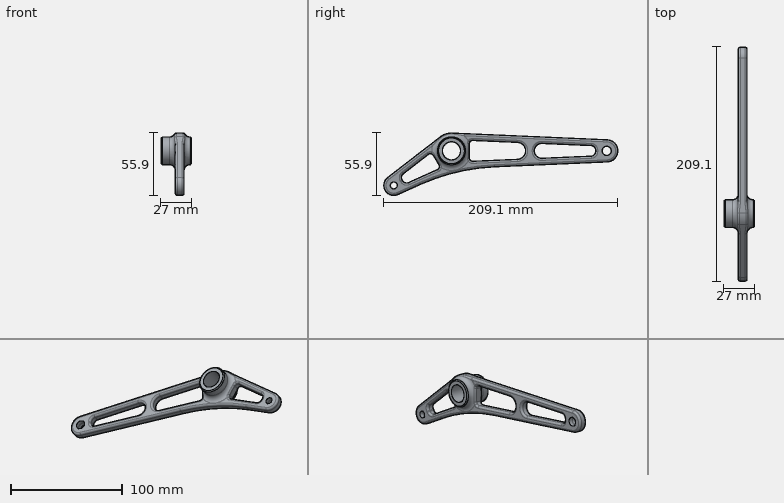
import cadquery as cq
import math

PLATE_THICKNESS = 8.0
HUB_OUTLINE_RADIUS = 16.0
UNDERSIDE_RADIUS = 180.0
RIM_WIDTH = 6.0
EDGE_FILLET = 2.0

LONG_LENGTH = 138.63
LONG_ANGLE = 0.0
LONG_TIP_RADIUS = 10.0
LONG_HOLE_DIAMETER = 8.0

SHORT_LENGTH = 60.0
SHORT_DROOP = 30.95
SHORT_ANGLE = 180.0 + SHORT_DROOP
SHORT_TIP_RADIUS = 9.0
SHORT_HOLE_DIAMETER = 6.0

HUB_WALL = 16.0
HUB_CORNER_RADIUS = 3.0
INNER_ROUND_CENTRE = 58.65
OUTER_ROUND_CENTRE = 80.6
LONG_TIP_WALL = LONG_LENGTH - LONG_TIP_RADIUS
SHORT_TIP_WALL = SHORT_LENGTH - SHORT_TIP_RADIUS
TIP_CORNER_RADIUS = 4.0

HUB_DIAMETER = 25.0
BORE_DIAMETER = 16.0
HUB_HEIGHT_NEG_X = 12.5
HUB_HEIGHT_POS_X = 6.5
HUB_FILLET = 5.0
HUB_CHAMFER = 1.0

HALF_THICKNESS = PLATE_THICKNESS / 2
HUB_RADIUS = HUB_DIAMETER / 2
FLARE_RADIUS = HUB_RADIUS + HUB_FILLET
WALL_TOLERANCE = 1e-6
BLANK_HALF_THICKNESS = HALF_THICKNESS + HUB_FILLET


def polar(radius, angle, centre=(0.0, 0.0)):
    """Point at a radius and an angle in degrees from a centre."""
    turn = math.radians(angle)
    return (centre[0] + radius * math.cos(turn), centre[1] + radius * math.sin(turn))


def edge_normal_angle(length, tip_radius):
    """Angle between an arm's axis and the normal of its tapering edge."""
    return math.degrees(math.acos((HUB_OUTLINE_RADIUS - tip_radius) / length))


def prism(sketch, half_thickness):
    return sketch.extrude(half_thickness, both=True)


def plate_outline():
    long_normal = edge_normal_angle(LONG_LENGTH, LONG_TIP_RADIUS)
    short_normal = edge_normal_angle(SHORT_LENGTH, SHORT_TIP_RADIUS)
    long_tip = polar(LONG_LENGTH, LONG_ANGLE)
    short_tip = polar(SHORT_LENGTH, SHORT_ANGLE)

    long_top = LONG_ANGLE + long_normal
    long_bottom = LONG_ANGLE - long_normal + 360
    short_top = SHORT_ANGLE - short_normal
    short_bottom = SHORT_ANGLE + short_normal

    underside_mid = (long_bottom + short_bottom) / 2
    half_turn = math.radians(short_bottom - long_bottom) / 2
    centre_distance = (HUB_OUTLINE_RADIUS + UNDERSIDE_RADIUS) / math.cos(half_turn)
    underside_centre = polar(centre_distance, underside_mid)

    return (
        cq.Workplane("YZ")
        .moveTo(*polar(HUB_OUTLINE_RADIUS, long_top))
        .threePointArc(
            polar(HUB_OUTLINE_RADIUS, (long_top + short_top) / 2),
            polar(HUB_OUTLINE_RADIUS, short_top),
        )
        .lineTo(*polar(SHORT_TIP_RADIUS, short_top, short_tip))
        .threePointArc(
            polar(SHORT_TIP_RADIUS, SHORT_ANGLE, short_tip),
            polar(SHORT_TIP_RADIUS, short_bottom, short_tip),
        )
        .lineTo(*polar(-UNDERSIDE_RADIUS, short_bottom, underside_centre))
        .threePointArc(
            polar(-UNDERSIDE_RADIUS, underside_mid, underside_centre),
            polar(-UNDERSIDE_RADIUS, long_bottom, underside_centre),
        )
        .lineTo(*polar(LONG_TIP_RADIUS, long_bottom, long_tip))
        .threePointArc(
            polar(LONG_TIP_RADIUS, LONG_ANGLE, long_tip),
            polar(LONG_TIP_RADIUS, long_top, long_tip),
        )
        .close()
    )


def window_half_width(arm, distance):
    """Half width of a window across its arm, at a distance from the hub axis."""
    length, tip_radius, _ = arm
    normal = math.radians(edge_normal_angle(length, tip_radius))
    return (HUB_OUTLINE_RADIUS - RIM_WIDTH - distance * math.cos(normal)) / math.sin(normal)


def window_cutter(sketch, arm_angle, corner_radii):
    """Cutter turned to its arm; corner_radii maps each flat end, "<Y" or ">Y", to a radius."""
    cutter = prism(sketch, BLANK_HALF_THICKNESS)
    for flat_end, radius in corner_radii.items():
        cutter = cutter.faces(flat_end).edges("|X").fillet(radius)
    return cutter.rotate((0, 0, 0), (1, 0, 0), arm_angle)


def round_ended_window(arm, wall, corner_radius, round_centre):
    """Tapered window from a flat end wall to a full round touching both sides."""
    length, tip_radius, arm_angle = arm
    normal = edge_normal_angle(length, tip_radius)
    radius = window_half_width(arm, round_centre) * math.sin(math.radians(normal))
    centre = (round_centre, 0.0)
    wall_half_width = window_half_width(arm, wall)
    round_angle, flat_end = (0, "<Y") if round_centre > wall else (180, ">Y")
    sketch = (
        cq.Workplane("YZ")
        .moveTo(wall, -wall_half_width)
        .lineTo(*polar(radius, -normal, centre))
        .threePointArc(polar(radius, round_angle, centre), polar(radius, normal, centre))
        .lineTo(wall, wall_half_width)
        .close()
    )
    return window_cutter(sketch, arm_angle, {flat_end: corner_radius})


def flat_ended_window(arm, start, start_corner_radius, end, end_corner_radius):
    """Tapered window between two flat end walls."""
    corners = [
        (start, -window_half_width(arm, start)),
        (end, -window_half_width(arm, end)),
        (end, window_half_width(arm, end)),
        (start, window_half_width(arm, start)),
    ]
    sketch = cq.Workplane("YZ").polyline(corners).close()
    return window_cutter(sketch, arm[-1], {"<Y": start_corner_radius, ">Y": end_corner_radius})


def windows():
    long_arm = (LONG_LENGTH, LONG_TIP_RADIUS, LONG_ANGLE)
    short_arm = (SHORT_LENGTH, SHORT_TIP_RADIUS, SHORT_ANGLE)
    inner = round_ended_window(long_arm, HUB_WALL, HUB_CORNER_RADIUS, INNER_ROUND_CENTRE)
    outer = round_ended_window(long_arm, LONG_TIP_WALL, TIP_CORNER_RADIUS, OUTER_ROUND_CENTRE)
    short = flat_ended_window(short_arm, HUB_WALL, HUB_CORNER_RADIUS, SHORT_TIP_WALL, TIP_CORNER_RADIUS)
    return inner.union(outer).union(short)


def flare_envelope():
    """Disc whose two faces rise from the plate to the hub in a concave fillet."""
    arc_mid = polar(HUB_FILLET, 225, (FLARE_RADIUS, BLANK_HALF_THICKNESS))
    half = (
        cq.Workplane("XY")
        .lineTo(FLARE_RADIUS, 0)
        .lineTo(FLARE_RADIUS, HALF_THICKNESS)
        .threePointArc(arc_mid, (HUB_RADIUS, BLANK_HALF_THICKNESS))
        .lineTo(0, BLANK_HALF_THICKNESS)
        .close()
        .revolve(360, (0, 0, 0), (0, 1, 0))
        .rotate((0, 0, 0), (0, 0, 1), -90)
    )
    return half.union(half.mirror("YZ"))


def hub():
    return (
        cq.Workplane("YZ")
        .workplane(offset=-HALF_THICKNESS - HUB_HEIGHT_NEG_X)
        .circle(HUB_RADIUS)
        .extrude(HUB_HEIGHT_NEG_X + PLATE_THICKNESS + HUB_HEIGHT_POS_X)
        .faces("<X or >X")
        .chamfer(HUB_CHAMFER)
    )


def through_hole(diameter, position):
    reach = HALF_THICKNESS + max(HUB_HEIGHT_NEG_X, HUB_HEIGHT_POS_X)
    return prism(cq.Workplane("YZ").center(*position).circle(diameter / 2), reach)


def is_plate_wall(face):
    """True for the walls that run straight through the plate along X."""
    return face.geomType() in ("PLANE", "CYLINDER") and abs(face.normalAt().x) < WALL_TOLERANCE


def rim_edges(body):
    """Edges where the plate's walls meet its faces or the hub flare."""
    wall_edges = [edge for face in body.faces().vals() if is_plate_wall(face) for edge in face.Edges()]
    return [edge for edge in wall_edges if sum(edge.isSame(other) for other in wall_edges) == 1]


def lever_plate():
    """Plate with its windows and hub flare, rounded along every rim edge."""
    openings = windows()
    plate = prism(plate_outline(), HALF_THICKNESS).cut(openings)
    flare_blank = prism(plate_outline(), BLANK_HALF_THICKNESS).cut(openings)
    body = plate.union(flare_blank.intersect(flare_envelope()))
    return body.newObject([body.val().fillet(EDGE_FILLET, rim_edges(body))])


result = (
    lever_plate()
    .union(hub())
    .cut(through_hole(BORE_DIAMETER, (0, 0)))
    .cut(through_hole(LONG_HOLE_DIAMETER, polar(LONG_LENGTH, LONG_ANGLE)))
    .cut(through_hole(SHORT_HOLE_DIAMETER, polar(SHORT_LENGTH, SHORT_ANGLE)))
)